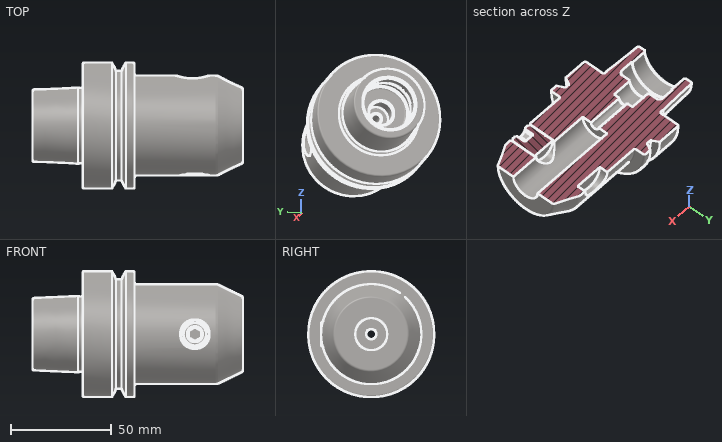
import cadquery as cq
import math


shank_length = 25.0
shank_start = -shank_length
shank_small_radius = 18.1
shank_large_radius = 19.1
shank_end_rounding = 1.0
shank_taper_end = -2.2
neck_radius = 18.85
neck_start = -1.35
neck_fillet = 0.75
face_recess_radius = 20.4
face_recess_depth = 0.1

flange_radius = 31.5
flange_width = 26.0
flange_rounding = 1.0
groove_center = 18.05
groove_floor_width = 2.8
groove_wall_width = 3.75
groove_floor_radius = 27.4
groove_wall_radius = 28.7
groove_flank_angle = 30.0

body_radius = 25.0
body_end = 80.0
body_root_fillet = 0.6
nose_cone_start = 67.1
nose_cone_angle = 26.0
nose_cone_rounding = 3.0
nose_rounding = 1.3

cavity_mouth_radius = 13.0
cavity_mouth_chamfer = 0.8
cavity_mouth_depth = 10.0
cavity_undercut_radius = 13.5
cavity_floor_depth = 19.5
cavity_floor_fillet = 1.1

pocket_radius = 6.0
pocket_chamfer = 0.6
pocket_depth = 12.0
passage_radius = 2.45
passage_chamfer = 0.5
tool_bore_radius = 8.0
tool_bore_depth = 52.0

screw_x = 56.0
screw_radius = 6.75
screw_length = 16.0
screw_chamfer = 1.15
screw_hole_chamfer = 0.65
socket_across_flats = 6.0
socket_depth = 6.0
socket_mouth_radius = 4.0
socket_mouth_angle = 30.0

balance_x = 54.8
balance_radius = 8.2
balance_floor_y = 20.0


def tan(degrees):
    return math.tan(math.radians(degrees))


def revolve_about_x(outline):
    return outline.close().revolve(360, (0, 0, 0), (1, 0, 0))


def round_rims(solid, x, radius, size):
    """Round the circular edge at the given station and radius."""
    margin = 0.01
    reach = radius + margin
    selector = cq.selectors.BoxSelector((x - margin, -reach, -reach), (x + margin, reach, reach))
    rims = [
        edge
        for edge in solid.edges(selector).vals()
        if edge.geomType() == "CIRCLE" and abs(edge.radius() - radius) < margin
    ]
    return solid.newObject(rims).fillet(size)


def turned_blank():
    neck_fillet_top = (face_recess_depth, neck_radius + neck_fillet)
    flank_width = (flange_radius - groove_wall_radius) * tan(groove_flank_angle)
    wall_half = groove_wall_width / 2
    floor_half = groove_floor_width / 2
    nose_radius = body_radius - (body_end - nose_cone_start) * tan(nose_cone_angle)

    outline = (
        cq.Workplane("XZ")
        .moveTo(shank_start, 0)
        .lineTo(shank_start, shank_small_radius)
        .lineTo(shank_taper_end, shank_large_radius)
        .lineTo(neck_start, neck_radius)
        .lineTo(face_recess_depth - neck_fillet, neck_radius)
        .tangentArcPoint(neck_fillet_top, relative=False)
        .lineTo(face_recess_depth, face_recess_radius)
        .lineTo(0, face_recess_radius)
        .lineTo(0, flange_radius)
        .lineTo(groove_center - wall_half - flank_width, flange_radius)
        .lineTo(groove_center - wall_half, groove_wall_radius)
        .lineTo(groove_center - floor_half, groove_floor_radius)
        .lineTo(groove_center + floor_half, groove_floor_radius)
        .lineTo(groove_center + wall_half, groove_wall_radius)
        .lineTo(groove_center + wall_half + flank_width, flange_radius)
        .lineTo(flange_width, flange_radius)
        .lineTo(flange_width, body_radius)
        .lineTo(nose_cone_start, body_radius)
        .lineTo(body_end, nose_radius)
        .lineTo(body_end, 0)
    )
    blank = revolve_about_x(outline)
    blank = round_rims(blank, shank_start, shank_small_radius, shank_end_rounding)
    for flange_side in (0, flange_width):
        blank = round_rims(blank, flange_side, flange_radius, flange_rounding)
    blank = round_rims(blank, flange_width, body_radius, body_root_fillet)
    blank = round_rims(blank, nose_cone_start, body_radius, nose_cone_rounding)
    return round_rims(blank, body_end, nose_radius, nose_rounding)


def axial_cavity():
    """Clamping cavity, pocket, passage and tool bore as one turned shape."""
    mouth_end = shank_start + cavity_mouth_depth
    cavity_floor = shank_start + cavity_floor_depth
    fillet_start = cavity_floor - cavity_floor_fillet
    undercut_end = fillet_start - (cavity_undercut_radius - cavity_mouth_radius)
    pocket_floor = cavity_floor + pocket_depth
    tool_bore_floor = body_end - tool_bore_depth

    outline = (
        cq.Workplane("XZ")
        .moveTo(shank_start, 0)
        .lineTo(shank_start, cavity_mouth_radius + cavity_mouth_chamfer)
        .lineTo(shank_start + cavity_mouth_chamfer, cavity_mouth_radius)
        .lineTo(mouth_end, cavity_mouth_radius)
        .lineTo(mouth_end, cavity_undercut_radius)
        .lineTo(undercut_end, cavity_undercut_radius)
        .lineTo(fillet_start, cavity_mouth_radius)
        .radiusArc((cavity_floor, cavity_mouth_radius - cavity_floor_fillet), cavity_floor_fillet)
        .lineTo(cavity_floor, pocket_radius + pocket_chamfer)
        .lineTo(cavity_floor + pocket_chamfer, pocket_radius)
        .lineTo(pocket_floor, pocket_radius)
        .lineTo(pocket_floor, passage_radius + passage_chamfer)
        .lineTo(pocket_floor + passage_chamfer, passage_radius)
        .lineTo(tool_bore_floor, passage_radius)
        .lineTo(tool_bore_floor, tool_bore_radius)
        .lineTo(body_end, tool_bore_radius)
        .lineTo(body_end, 0)
    )
    return revolve_about_x(outline)


def cylinder_along_y(x, radius, start_y, length):
    """Cylinder about a line parallel to Y, running from start_y toward +Y."""
    plane = cq.Plane(origin=(x, start_y, 0), xDir=(1, 0, 0), normal=(0, 1, 0))
    return cq.Workplane(plane).circle(radius).extrude(length)


def make_holder():
    blank = turned_blank()
    blank = blank.cut(cylinder_along_y(screw_x, screw_radius, -flange_radius, flange_radius))
    zone_half = 2 * screw_radius
    rim_zone = cq.selectors.BoxSelector(
        (screw_x - zone_half, -flange_radius, -zone_half),
        (screw_x + zone_half, -body_radius / 2, zone_half),
    )
    rims = [edge for edge in blank.edges(rim_zone).vals() if edge.geomType() not in ("LINE", "CIRCLE")]
    blank = blank.newObject(rims).chamfer(screw_hole_chamfer)
    balance_hole = cylinder_along_y(balance_x, balance_radius, balance_floor_y, body_radius)
    return blank.cut(balance_hole).cut(axial_cavity())


def make_clamping_screw():
    screw = cylinder_along_y(screw_x, screw_radius, -body_radius, screw_length)
    screw = screw.faces("<Y").chamfer(screw_chamfer)
    plane = cq.Plane(origin=(screw_x, -body_radius, 0), xDir=(0, 0, 1), normal=(0, 1, 0))
    corner_diameter = socket_across_flats / math.cos(math.pi / 6)
    socket = cq.Workplane(plane).polygon(6, corner_diameter).extrude(socket_depth)
    face_center = cq.Vector(screw_x, -body_radius, 0)
    inward = cq.Vector(0, 1, 0)
    cone_height = socket_mouth_radius * tan(socket_mouth_angle)
    mouth_cone = cq.Solid.makeCone(socket_mouth_radius, 0, cone_height, face_center, inward)
    return screw.cut(socket).cut(cq.Workplane(mouth_cone))


holder = make_holder()
clamping_screw = make_clamping_screw()
result = cq.Compound.makeCompound([holder.val(), clamping_screw.val()])